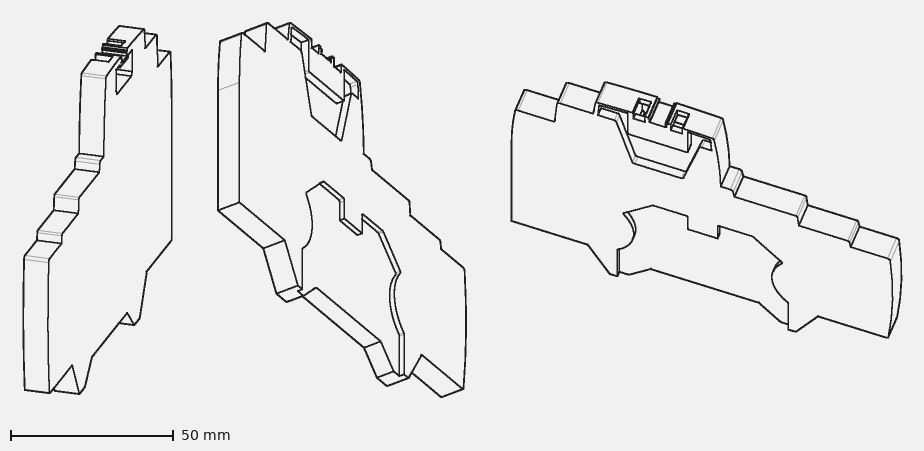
import cadquery as cq


thickness = 8.0
length = 125.0
height = 96.0
y_end = length / 2

arch_z = 7.1
base_z = 12.8
front_step_z = [58.1, 61.1, 66.1, 69.5]
back_step_z = [76.9, 88.4]
head_corner_z = 95.4

rail_mid_y = -0.3
foot_outer_root = 37.8
foot_outer_tip = 30.5
foot_inner_tip = 24.9
foot_inner_root = foot_inner_tip - arch_z

large_round = 1.0
head_round = 0.8
small_round = 0.6

head_mid_y = 14.5
rim = 1.1
pocket_taper = 0.4
pocket_depth = 2.8
ledge_z = back_step_z[1]
funnel_top_half = 13.8
funnel_bottom_half = 8.3
funnel_bottom_z = 67.3
pocket_round = 0.8

block_half = 9.9
block_bottom_z = 83.0
block_round = 0.5
wall = 1.9
bridge_z = 93.4
cavity_roof_z = 92.5
cavity_bevel_y = 0.8
cavity_bevel_z = 1.3

window_inner = 4.3
window_depth = 5.6
window_sill_z = 92.8
window_bevel_y = 0.4
window_bevel_z = 0.6

notch_floor_z = 93.5
notch_half = 2.8
notch_lip_half = 2.4
notch_mouth_half = 3.1
lip_top_z = 95.3
lip_bottom_z = 94.7

rail_depth = 1.8
rail_side_half = 28.0
rail_side_z = 15.3
waist_half = 22.6
waist_z = 26.8
shoulder_half = 26.3
shoulder_z = 36.9
rail_top_z = 46.8
rail_top_half = shoulder_half - (rail_top_z - shoulder_z)
tongue_half = 4.9
tongue_bottom_z = 39.4
rail_round = 0.6

back_head_foot = (35.8, ledge_z)
back_head_top = (34.9, head_corner_z)
front_head_top = (-3.9, head_corner_z)
head_crest_y = (back_head_top[0] + front_head_top[0]) / 2
front_head_mid = (-5.4, 83.8)
front_head_foot = (-6.1, front_step_z[3])


def side_plane(x):
    """Sketch plane at a given X, with sketch axes along Y and Z."""
    return cq.Workplane("YZ", origin=(x, 0, 0))


def prism(points, x_start, x_stop):
    """Straight-sided outline extruded along X."""
    return side_plane(x_start).polyline(points).close().extrude(x_stop - x_start)


def mirrored_about_head(half_profile):
    """Closed profile from (distance from the head middle, Z) points of one half."""
    back = [(head_mid_y + y, z) for y, z in half_profile]
    front = [(head_mid_y - y, z) for y, z in reversed(half_profile)]
    return back + front


def round_corners(solid, corners, radius):
    """Fillet the edges along X that pass through the given (Y, Z) corners."""
    reach = 0.06
    far = 2 * thickness
    for y, z in corners:
        near = cq.selectors.BoxSelector((-far, y - reach, z - reach), (far, y + reach, z + reach))
        solid = solid.edges("|X").edges(near).fillet(radius)
    return solid


def housing():
    """Full-thickness plate with stepped top, bowed ends and two rail feet."""
    back_arc_start = (y_end, 57.5)
    back_corner = (61.3, back_step_z[0])
    back_step_foot = (48.4, back_step_z[0])
    back_step_top = (47.5, back_step_z[1])
    front_bow = (-y_end, 38.1)
    front_base = (-61.0, base_z)
    step_tops = [
        (-61.6, front_step_z[0]),
        (-48.3, front_step_z[1]),
        (-31.3, front_step_z[2]),
        (-10.0, front_step_z[3]),
    ]
    step_feet = [
        (-48.8, front_step_z[0]),
        (-31.8, front_step_z[1]),
        (-10.6, front_step_z[2]),
    ]
    outline = (
        side_plane(0)
        .moveTo(y_end, base_z)
        .lineTo(*back_arc_start)
        .tangentArcPoint(back_corner, relative=False)
        .lineTo(*back_step_foot)
        .lineTo(*back_step_top)
        .lineTo(*back_head_foot)
        .lineTo(*back_head_top)
        .threePointArc((head_crest_y, height), front_head_top)
        .threePointArc(front_head_mid, front_head_foot)
        .lineTo(*step_tops[3])
    )
    for foot, top in zip(reversed(step_feet), reversed(step_tops[:3])):
        outline = outline.lineTo(*foot).lineTo(*top)
    outline = (
        outline.threePointArc(front_bow, front_base)
        .lineTo(rail_mid_y - foot_outer_root, base_z)
        .lineTo(rail_mid_y - foot_outer_tip, 0)
        .lineTo(rail_mid_y - foot_inner_tip, 0)
        .lineTo(rail_mid_y - foot_inner_root, arch_z)
        .lineTo(rail_mid_y + foot_inner_root, arch_z)
        .lineTo(rail_mid_y + foot_inner_tip, 0)
        .lineTo(rail_mid_y + foot_outer_tip, 0)
        .lineTo(rail_mid_y + foot_outer_root, base_z)
        .close()
    )
    body = outline.extrude(thickness)
    large_corners = [back_corner, back_step_top, step_tops[0], step_tops[3]]
    body = round_corners(body, large_corners, large_round)
    body = round_corners(body, [back_head_top, front_head_top], head_round)
    return round_corners(body, step_tops[1:3] + [front_base], small_round)


def head_pocket():
    """Shallow pocket: a band under the head rim, narrowing into a funnel."""
    top_z = head_corner_z - rim
    back_top = (back_head_top[0] - rim, top_z)
    front_top = (front_head_top[0] + rim, top_z)
    ledge_back_y = back_top[0] + pocket_taper
    ledge_front_y = front_top[0] - pocket_taper
    funnel = [(head_mid_y + s * funnel_top_half, ledge_z) for s in (1, -1)]
    floor = [(head_mid_y + s * funnel_bottom_half, funnel_bottom_z) for s in (1, -1)]
    pocket = (
        side_plane(0)
        .moveTo(ledge_back_y, ledge_z)
        .lineTo(*back_top)
        .threePointArc((head_crest_y, height - rim), front_top)
        .lineTo(ledge_front_y, ledge_z)
        .lineTo(*funnel[1])
        .lineTo(*floor[1])
        .lineTo(*floor[0])
        .lineTo(*funnel[0])
        .close()
        .extrude(pocket_depth)
    )
    return round_corners(pocket, [back_top, front_top] + funnel + floor, pocket_round)


def marker_block():
    """Raised block that closes the middle of the pocket up to the rim."""
    back_y = head_mid_y + block_half
    front_y = head_mid_y - block_half
    lower_corners = [(front_y, block_bottom_z), (back_y, block_bottom_z)]
    upper_corners = [(back_y, head_corner_z), (front_y, head_corner_z)]
    solid = prism(lower_corners + upper_corners, 0, pocket_depth)
    return round_corners(solid, lower_corners, block_round)


def cavity():
    """Hollow behind the block wall, open at +X, with bevels beside its floor."""
    half = block_half - wall
    floor_z = block_bottom_z + wall
    half_profile = [
        (half - cavity_bevel_y, floor_z),
        (half, floor_z + cavity_bevel_z),
        (half, bridge_z),
        (window_inner, bridge_z),
        (window_inner, cavity_roof_z),
    ]
    return prism(mirrored_about_head(half_profile), wall, thickness)


def window(side):
    """Opening from the top into the cavity, bevelled on its outer upper edge."""
    inner_y = head_mid_y + side * window_inner
    outer_y = head_mid_y + side * (block_half - wall)
    points = [
        (inner_y, window_sill_z),
        (outer_y, window_sill_z),
        (outer_y, height - window_bevel_z),
        (outer_y + side * window_bevel_y, height),
        (inner_y, height),
    ]
    return prism(points, 0, window_depth)


def notch():
    """Notch across the top of the head with a lip on each side."""
    half_profile = [
        (notch_half, notch_floor_z),
        (notch_half, lip_bottom_z),
        (notch_lip_half, lip_bottom_z),
        (notch_lip_half, lip_top_z),
        (notch_mouth_half, lip_top_z),
        (notch_mouth_half, height),
    ]
    return prism(mirrored_about_head(half_profile), 0, thickness)


def rail_recess():
    """Shallow recess for the rail, with round waists and a tongue at the top."""
    recess = (
        side_plane(0)
        .moveTo(-rail_side_half, 0)
        .lineTo(-rail_side_half, rail_side_z)
        .threePointArc((-waist_half, waist_z), (-shoulder_half, shoulder_z))
        .lineTo(-rail_top_half, rail_top_z)
        .lineTo(-tongue_half, rail_top_z)
        .lineTo(-tongue_half, tongue_bottom_z)
        .lineTo(tongue_half, tongue_bottom_z)
        .lineTo(tongue_half, rail_top_z)
        .lineTo(rail_top_half, rail_top_z)
        .lineTo(shoulder_half, shoulder_z)
        .threePointArc((waist_half, waist_z), (rail_side_half, rail_side_z))
        .lineTo(rail_side_half, 0)
        .close()
        .extrude(rail_depth)
    )
    corners = []
    for side in (-1, 1):
        corners.append((side * tongue_half, rail_top_z))
        corners.append((side * rail_top_half, rail_top_z))
        corners.append((side * shoulder_half, shoulder_z))
        corners.append((side * rail_side_half, rail_side_z))
    return round_corners(recess, corners, rail_round).translate((0, rail_mid_y, 0))


result = housing().cut(head_pocket()).union(marker_block())
result = result.cut(cavity())
for side in (-1, 1):
    result = result.cut(window(side))
result = result.cut(notch()).cut(rail_recess())